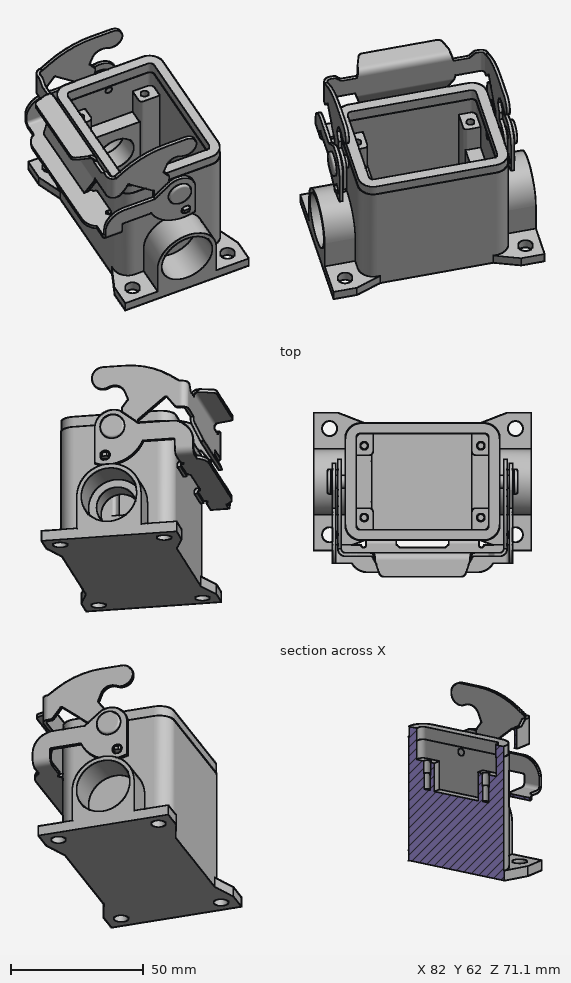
import cadquery as cq
import math


length = 82.0
base_width = 52.1
base_height = 4.0
foot_straight = 9.1
foot_slope_end = 21.9
mount_hole_x = 35.0
mount_hole_y = 20.0
mount_hole_diameter = 5.6

body_half_x = 29.2
body_half_y = 22.1
body_corner = 6.0
housing_height = 53.05
rim_height = 4.1
rim_step = 0.2
mouth_depth = 5.0

opening_half_x = 24.9
opening_half_y = 18.1
opening_corner = 1.8
floor_thickness = base_height

boss_inner_x = 18.6
boss_inner_y = 10.0
boss_top = 40.7
boss_corner = 1.4
screw_hole_x = 22.0
screw_hole_y = 13.5
screw_hole_diameter = 3.0
screw_hole_depth = 4.9
screw_core_diameter = 2.55
screw_core_depth = 11.1
ledge_top = 29.5
entry_ledge_inner_x = 19.2

entry_z = 16.6
entry_radius = 12.4
bore_radius = 10.7
bore_depth = 13.45
passage_radius = 7.6

pin_z = 46.0
pin_radius = 2.5
pin_end_radius = 1.4
head_radius = 4.7
head_inner_x = 34.5
head_thickness = 1.3
head_round = 0.7

sheet = 1.3
bend = 2.8

lever_half_x = 31.9
band_front_y = -28.1
band_bottom = 53.1
band_top = 63.5
plate_end_y = band_front_y + bend

tip_y = 4.2
tip_z = 66.7
tip_radius = 4.35
recess_y = 0.0
recess_z = 58.9
plate_top = tip_z + tip_radius
recess_end = (-3.9, 61.0)
throat_corner = (-5.4, 57.4)
crown_start_y = -3.8
crown_middle = (-15.25, 69.05)
crown_end = (-22.0, 65.7)
lobe_front_y = -9.3
neck_back_y = -3.0
neck_top_z = 54.2
lobe_radius = 8.2
lobe_start_z = 44.0
lobe_bottom = lobe_start_z - lobe_radius
lobe_back_y = 4.6
under_edge = [(-24.2, band_bottom), (-23.4, 53.6), (-20.25, 57.6), (-19.7, 57.6), (lobe_front_y, 49.0)]

notch_half_x = 27.15
notch_floor_half_x = 24.85
notch_floor_z = 61.3
notch_round = 0.8

grip_top = 64.6
grip_end_y = -35.9
grip_root_half_x = 18.9
grip_shoulder_half_x = 17.8
grip_end_half_x = 15.9
grip_corner = 2.05

flap_bend_z = 51.4
flap_angle = 25.0
flap_end_z = 44.4
flap_root_half_x = 19.5
flap_end_half_x = 17.05
flap_corner = 1.5
flap_bend_radius = 1.4

stop_y = 3.0
stop_width = 3.0
stop_bottom = 34.35
stop_end_x = 34.85
stop_chamfer = 0.65

bracket_half_x = 33.95
shelf_bottom = 33.7
shelf_top = shelf_bottom + sheet
shelf_back_y = -23.9
shelf_front_y = -30.8
leg_start_z = shelf_bottom + bend
ear_radius = 7.0
ear_end_angle = 27.3
arm_start_y = -10.0
arm_top = 46.9
arm_bottom = 39.85
arm_bend = 8.1
arm_inner_round = 0.7
belly_front_y = -11.6
belly_middle = (-6.3, 33.7)
belly_back_z = 32.15
stop_hole_z = 35.0
stop_hole_radius = 1.9

apron_front_y = -34.2
apron_half_x = 26.65
apron_flat_half_x = 20.9
apron_curve_x = 24.1
apron_curve_y = -33.3
lip_outer_x = 21.3
lip_inner_x = 9.8
lip_bottom = 32.9
relief_width = 1.8
relief_round = 0.8
relief_end_y = -24.8
window_chamfer = 1.15

SIDES = (-1, 1)


def box(x0, x1, y0, y1, z0, z1):
    return cq.Workplane("XY").box(x1 - x0, y1 - y0, z1 - z0, centered=False).translate((x0, y0, z0))


def rounded_block(half_x, half_y, corner, bottom, top):
    block = box(-half_x, half_x, -half_y, half_y, bottom, top)
    return block.edges("|Z").fillet(corner)


def cylinder_x(y, z, radius, x0, x1):
    return cq.Workplane("YZ", origin=(x0, 0, 0)).center(y, z).circle(radius).extrude(x1 - x0)


def arc_point(centre, radius, degrees):
    """Point on a circle, with the angle measured from the first axis toward the second."""
    angle = math.radians(degrees)
    return (centre[0] + radius * math.cos(angle), centre[1] + radius * math.sin(angle))


def base_plate():
    half_x = length / 2
    half_y = base_width / 2
    slope_start = half_x - foot_straight
    quarter = [(foot_slope_end, body_half_y), (slope_start, half_y), (half_x, half_y)]
    right = quarter + [(x, -y) for x, y in reversed(quarter)]
    left = [(-x, -y) for x, y in right]
    plate = cq.Workplane("XY").polyline(right + left).close().extrude(base_height)
    holes = (
        cq.Workplane("XY")
        .rect(2 * mount_hole_x, 2 * mount_hole_y, forConstruction=True)
        .vertices()
        .circle(mount_hole_diameter / 2)
        .extrude(base_height)
    )
    return plate.cut(holes)


def cavity():
    mouth_bottom = housing_height - mouth_depth
    mouth = rounded_block(opening_half_x, opening_half_y, opening_corner, mouth_bottom, housing_height)
    chamber = rounded_block(
        opening_half_x + rim_step,
        opening_half_y + rim_step,
        opening_corner + rim_step,
        floor_thickness,
        mouth_bottom,
    )
    for side, inner_x in ((-1, entry_ledge_inner_x), (1, boss_inner_x)):
        x0, x1 = sorted((side * inner_x, side * body_half_x))
        chamber = chamber.cut(box(x0, x1, -body_half_y, body_half_y, floor_thickness, ledge_top))
    return mouth.union(chamber.cut(screw_bosses()))


def screw_bosses():
    outer_x = opening_half_x + body_corner / 2
    outer_y = opening_half_y + body_corner / 2
    bosses = cq.Workplane("XY")
    for x_side in SIDES:
        for y_side in SIDES:
            x0, x1 = sorted((x_side * boss_inner_x, x_side * outer_x))
            y0, y1 = sorted((y_side * boss_inner_y, y_side * outer_y))
            boss = box(x0, x1, y0, y1, floor_thickness, boss_top)
            inner_edge = ("<X" if x_side > 0 else ">X") + " and " + ("<Y" if y_side > 0 else ">Y")
            bosses = bosses.add(boss.edges(f"|Z and ({inner_edge})").fillet(boss_corner))
    return bosses.combine()


def screw_holes():
    at_bosses = (
        cq.Workplane("XY", origin=(0, 0, boss_top))
        .rect(2 * screw_hole_x, 2 * screw_hole_y, forConstruction=True)
        .vertices()
    )
    holes = at_bosses.circle(screw_hole_diameter / 2).extrude(-screw_hole_depth)
    return holes.union(at_bosses.circle(screw_core_diameter / 2).extrude(-screw_core_depth))


def make_housing():
    rim_bottom = housing_height - rim_height
    housing = rounded_block(body_half_x, body_half_y, body_corner, 0, rim_bottom)
    housing = housing.union(
        rounded_block(
            body_half_x - rim_step,
            body_half_y - rim_step,
            body_corner - rim_step,
            rim_bottom,
            housing_height,
        )
    )
    housing = housing.union(base_plate())
    half = length / 2
    housing = housing.union(box(-half, half, -entry_radius, entry_radius, 0, entry_z))
    housing = housing.union(cylinder_x(0, entry_z, entry_radius, -half, half))
    housing = housing.cut(cavity()).cut(screw_holes())
    for side in SIDES:
        bore_end = side * (half - bore_depth)
        housing = housing.cut(cylinder_x(0, entry_z, bore_radius, bore_end, side * half))
        housing = housing.cut(
            cylinder_x(0, pin_z, pin_end_radius, side * opening_half_x, side * body_half_x)
        )
    return housing.cut(cylinder_x(0, entry_z, passage_radius, -half, -entry_ledge_inner_x))


def channel(half_x, height):
    """U-shaped strip: web on y = 0, bends toward +Y that end as they turn upright, standing on z = 0."""
    inner_half = half_x - sheet
    outer = box(-half_x, half_x, 0, 2 * bend, 0, height).edges("|Z and <Y").fillet(bend)
    inner = box(-inner_half, inner_half, sheet, 2 * bend, 0, height).edges("|Z and <Y").fillet(bend - sheet)
    return outer.cut(inner).intersect(box(-half_x, half_x, 0, bend, 0, height))


def side_plates(outline, half_x):
    left = outline.extrude(sheet).translate((-half_x, 0, 0))
    return left.union(left.mirror("YZ"))


def make_pins():
    left = cylinder_x(0, pin_z, pin_radius, -head_inner_x, -body_half_x)
    left = left.union(cylinder_x(0, pin_z, pin_end_radius, -body_half_x, -opening_half_x - rim_step))
    head = cylinder_x(0, pin_z, head_radius, -head_inner_x - head_thickness, -head_inner_x)
    left = left.union(head.faces("<X").edges().fillet(head_round))
    return left.union(left.mirror("YZ"))


def lever_plate_outline():
    tip = (tip_y, tip_z)
    recess = (recess_y, recess_z)
    span = math.hypot(tip_y - recess_y, tip_z - recess_z)
    recess_radius = span - tip_radius
    meet_angle = math.degrees(math.atan2(tip_z - recess_z, tip_y - recess_y))
    lobe_centre = (lobe_front_y + lobe_radius, lobe_start_z)
    back_top = pin_z + lobe_back_y
    return (
        cq.Workplane("YZ")
        .moveTo(tip_y, plate_top)
        .lineTo(crown_start_y, plate_top)
        .threePointArc(crown_middle, crown_end)
        .lineTo(plate_end_y, band_top)
        .lineTo(plate_end_y, band_bottom)
        .polyline(under_edge, includeCurrent=True)
        .lineTo(lobe_front_y, lobe_start_z)
        .threePointArc(arc_point(lobe_centre, lobe_radius, 225), (lobe_centre[0], lobe_bottom))
        .lineTo(lobe_back_y, lobe_bottom)
        .lineTo(lobe_back_y, pin_z)
        .threePointArc(arc_point((0, pin_z), lobe_back_y, 45), (0, back_top))
        .lineTo(neck_back_y, back_top)
        .lineTo(neck_back_y, neck_top_z)
        .lineTo(*throat_corner)
        .lineTo(*recess_end)
        .threePointArc((recess_y, recess_z + recess_radius), arc_point(recess, recess_radius, meet_angle))
        .threePointArc(arc_point(tip, tip_radius, 0), (tip_y, plate_top))
        .close()
    )


def lever_band():
    height = band_top - band_bottom
    band = channel(lever_half_x, height)
    band = band.translate((0, band_front_y, band_bottom))
    notch = (
        cq.Workplane("XZ", origin=(0, plate_end_y, 0))
        .polyline(
            [
                (-notch_half_x, band_top),
                (-notch_floor_half_x, notch_floor_z),
                (notch_floor_half_x, notch_floor_z),
                (notch_half_x, band_top),
            ]
        )
        .close()
        .extrude(bend)
        .edges("|Y and <Z")
        .fillet(notch_round)
    )
    return band.cut(notch).edges("|Y and >Z").fillet(notch_round)


def grip():
    """Upper tab: rises from the band and bends outward to a level flange."""
    centre_y = band_front_y + sheet - bend
    centre_z = grip_top - bend
    centre = (centre_y, centre_z)
    section = (
        cq.Workplane("YZ", origin=(-grip_root_half_x, 0, 0))
        .moveTo(centre_y + bend, notch_floor_z)
        .lineTo(centre_y + bend, centre_z)
        .threePointArc(arc_point(centre, bend, 45), (centre_y, grip_top))
        .lineTo(grip_end_y, grip_top)
        .lineTo(grip_end_y, grip_top - sheet)
        .lineTo(centre_y, grip_top - sheet)
        .threePointArc(arc_point(centre, bend - sheet, 45), (band_front_y, centre_z))
        .lineTo(band_front_y, notch_floor_z)
        .close()
        .extrude(2 * grip_root_half_x)
    )
    root_y = band_front_y + sheet
    plan = (
        cq.Workplane("XY")
        .polyline(
            [
                (-grip_root_half_x, root_y),
                (-grip_end_half_x, grip_end_y),
                (grip_end_half_x, grip_end_y),
                (grip_root_half_x, root_y),
            ]
        )
        .close()
        .extrude(grip_top)
        .edges("|Z and <Y")
        .fillet(grip_corner)
    )
    shoulders = (
        cq.Workplane("XZ", origin=(0, root_y, 0))
        .polyline(
            [
                (-grip_root_half_x, notch_floor_z),
                (-grip_shoulder_half_x, grip_top),
                (grip_shoulder_half_x, grip_top),
                (grip_root_half_x, notch_floor_z),
            ]
        )
        .close()
        .extrude(root_y - grip_end_y)
    )
    return section.intersect(plan).intersect(shoulders)


def flap():
    """Lower tab: drops from the band and then slants outward."""
    slant = math.radians(flap_angle)
    end_y = band_front_y - (flap_bend_z - flap_end_z) * math.tan(slant)
    inner_end_y = end_y + sheet * math.cos(slant)
    inner_end_z = flap_end_z - sheet * math.sin(slant)
    inner_bend_z = flap_bend_z - sheet * math.tan(slant / 2)
    band_back_y = band_front_y + sheet
    section = (
        cq.Workplane("YZ", origin=(-flap_root_half_x, 0, 0))
        .polyline(
            [
                (band_front_y, band_bottom),
                (band_front_y, flap_bend_z),
                (end_y, flap_end_z),
                (inner_end_y, inner_end_z),
                (band_back_y, inner_bend_z),
                (band_back_y, band_bottom),
            ]
        )
        .close()
        .extrude(2 * flap_root_half_x)
    )
    hollow_bend = cq.selectors.NearestToPointSelector((0, band_front_y, flap_bend_z))
    round_bend = cq.selectors.NearestToPointSelector((0, band_back_y, inner_bend_z))
    section = section.edges(hollow_bend).fillet(flap_bend_radius)
    section = section.edges(round_bend).fillet(flap_bend_radius + sheet)
    front = (
        cq.Workplane("XZ", origin=(0, band_back_y, 0))
        .polyline(
            [
                (-flap_root_half_x, band_bottom),
                (-flap_end_half_x, inner_end_z),
                (flap_end_half_x, inner_end_z),
                (flap_root_half_x, band_bottom),
            ]
        )
        .close()
        .extrude(band_back_y - end_y)
        .edges("|Y and <Z")
        .fillet(flap_corner)
    )
    return section.intersect(front)


def stop_tabs():
    """Tabs bent outward from the lower edge of the lever plates into the bracket holes."""
    inner_x = lever_half_x - sheet
    tab = box(
        -stop_end_x,
        -inner_x,
        stop_y - stop_width / 2,
        stop_y + stop_width / 2,
        stop_bottom,
        lobe_bottom,
    )
    tab = tab.edges("|Z and <X").chamfer(stop_chamfer)
    tab = tab.edges("|Y and >X and <Z").fillet(sheet)
    return tab.union(tab.mirror("YZ"))


def make_lever():
    lever = side_plates(lever_plate_outline(), lever_half_x)
    for portion in (lever_band(), grip(), flap(), stop_tabs()):
        lever = lever.union(portion)
    return lever


def bracket_plate_outline():
    pivot = (0, pin_z)
    ear_end = 90 + ear_end_angle
    arm_centre = (shelf_front_y + arm_bend, arm_top - arm_bend)
    round_centre = (shelf_back_y + arm_inner_round, arm_bottom - arm_inner_round)
    return (
        cq.Workplane("YZ")
        .moveTo(ear_radius, pin_z)
        .threePointArc(arc_point(pivot, ear_radius, ear_end / 2), arc_point(pivot, ear_radius, ear_end))
        .lineTo(arm_start_y, arm_top)
        .lineTo(arm_centre[0], arm_top)
        .threePointArc(arc_point(arm_centre, arm_bend, 135), (shelf_front_y, arm_centre[1]))
        .lineTo(shelf_front_y, leg_start_z)
        .lineTo(shelf_back_y, leg_start_z)
        .lineTo(shelf_back_y, round_centre[1])
        .threePointArc(arc_point(round_centre, arm_inner_round, 135), (round_centre[0], arm_bottom))
        .lineTo(belly_front_y, arm_bottom)
        .threePointArc(belly_middle, (ear_radius, belly_back_z))
        .close()
    )


def shelf():
    depth = shelf_back_y - shelf_front_y
    strip = channel(bracket_half_x, depth)
    strip = strip.rotate((0, 0, 0), (1, 0, 0), 90).translate((0, shelf_back_y, shelf_bottom))
    apron = (
        cq.Workplane("XY", origin=(0, 0, shelf_bottom))
        .moveTo(-apron_half_x, shelf_front_y)
        .threePointArc((-apron_curve_x, apron_curve_y), (-apron_flat_half_x, apron_front_y))
        .lineTo(apron_flat_half_x, apron_front_y)
        .threePointArc((apron_curve_x, apron_curve_y), (apron_half_x, shelf_front_y))
        .close()
        .extrude(sheet)
    )
    return strip.union(apron)


def shelf_lips():
    """Two tongues that reach the housing wall and bend down against it."""
    lip = (
        box(lip_inner_x, lip_outer_x, shelf_back_y, -body_half_y, lip_bottom, shelf_top)
        .edges("|X and >Y and >Z")
        .fillet(sheet)
    )
    lip = lip.cut(
        box(
            lip_inner_x,
            lip_outer_x,
            shelf_back_y,
            -body_half_y - sheet,
            lip_bottom,
            shelf_bottom,
        )
    )
    return lip.union(lip.mirror("YZ"))


def shelf_openings():
    window = box(-lip_inner_x, lip_inner_x, relief_end_y, -body_half_y, shelf_bottom, shelf_top)
    openings = window.edges("|Z and <Y").chamfer(window_chamfer)
    for side in SIDES:
        x0, x1 = sorted((side * lip_outer_x, side * (lip_outer_x + relief_width)))
        relief = box(x0, x1, relief_end_y, -body_half_y, shelf_bottom, shelf_top)
        openings = openings.union(relief.edges("|Z and <Y").fillet(relief_round))
    return openings


def make_bracket():
    plates = side_plates(bracket_plate_outline(), bracket_half_x)
    plates = plates.cut(
        cylinder_x(stop_y, stop_hole_z, stop_hole_radius, -bracket_half_x, bracket_half_x)
    )
    return plates.union(shelf()).union(shelf_lips()).cut(shelf_openings())


def make_locking_device():
    """Lever and bracket joined by the two pins on which they are riveted."""
    return make_pins().union(make_lever()).union(make_bracket())


housing = make_housing().solids()
locking_device = make_locking_device().solids()
result = cq.Compound.makeCompound([housing.val(), locking_device.val()])